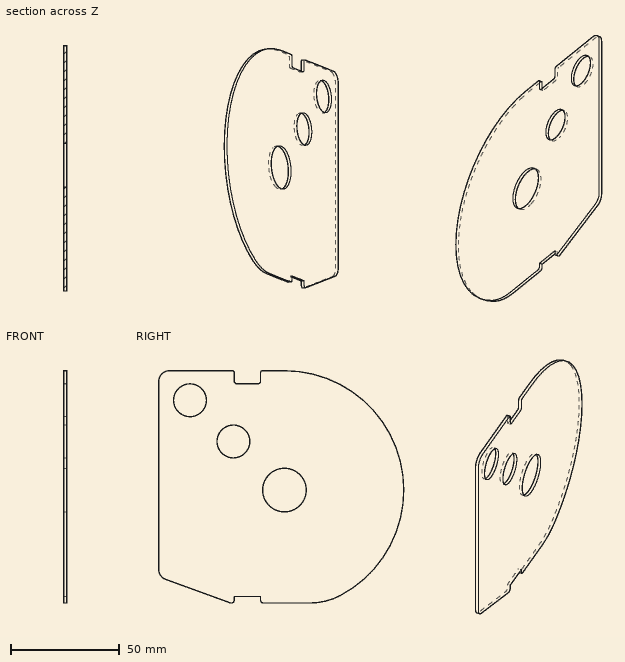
import cadquery as cq
import math

thickness = 1.5
disc_radius = 55.0
length = 113.0
height = 107.1
edge_y = disc_radius - length
bottom_z = disc_radius - height

plate_corner_radius = 5.0
blend_radius = 30.0
top_notch_radius = 1.0
bottom_notch_radius = 1.5

notch_near_y = -11.1
notch_width = 12.0
notch_far_y = notch_near_y - notch_width
top_notch_depth = 6.0
bottom_notch_depth = 3.0
top_notch_z = disc_radius - top_notch_depth
bottom_notch_z = bottom_z + bottom_notch_depth

slope_angle = math.radians(20)
tip_half_angle = (math.pi / 2 - slope_angle) / 2
tip_z = bottom_z + bottom_notch_radius * (1 - 1 / math.tan(tip_half_angle))
slope_end_z = tip_z + (notch_far_y - edge_y) * math.tan(slope_angle)

holes = [
    (0, 0, 20.0),
    (-23.5, 22.4, 15.0),
    (-43.5, 41.3, 15.0),
]

disc_end_y = math.sqrt(disc_radius**2 - bottom_z**2)


def make_plate():
    """Extrude the outline with sharp corners; the plate is centred on X = 0."""
    return (
        cq.Workplane("YZ", origin=(-thickness / 2, 0, 0))
        .moveTo(0, disc_radius)
        .lineTo(notch_near_y, disc_radius)
        .lineTo(notch_near_y, top_notch_z)
        .lineTo(notch_far_y, top_notch_z)
        .lineTo(notch_far_y, disc_radius)
        .lineTo(edge_y, disc_radius)
        .lineTo(edge_y, slope_end_z)
        .lineTo(notch_far_y, tip_z)
        .lineTo(notch_far_y, bottom_notch_z)
        .lineTo(notch_near_y, bottom_notch_z)
        .lineTo(notch_near_y, bottom_z)
        .lineTo(disc_end_y, bottom_z)
        .threePointArc((disc_radius, 0), (0, disc_radius))
        .close()
        .extrude(thickness)
    )


def round_corners(plate, corners, radius):
    """Round the through-thickness edges at the given (Y, Z) corners."""
    for y, z in corners:
        edge = plate.edges(cq.selectors.NearestToPointSelector((0, y, z)))
        plate = edge.fillet(radius)
    return plate


def cut_holes(plate):
    """Cut the round through holes."""
    for y, z, diameter in holes:
        cutter = (
            cq.Workplane("YZ", origin=(-thickness, 0, 0))
            .center(y, z)
            .circle(diameter / 2)
            .extrude(2 * thickness)
        )
        plate = plate.cut(cutter)
    return plate


plate_corners = [(edge_y, disc_radius), (edge_y, slope_end_z)]
top_notch_corners = [
    (y, z) for y in (notch_near_y, notch_far_y) for z in (disc_radius, top_notch_z)
]
bottom_notch_corners = [(notch_near_y, bottom_z), (notch_far_y, tip_z)]

result = make_plate()
result = round_corners(result, plate_corners, plate_corner_radius)
result = round_corners(result, [(disc_end_y, bottom_z)], blend_radius)
result = round_corners(result, top_notch_corners, top_notch_radius)
result = round_corners(result, bottom_notch_corners, bottom_notch_radius)
result = cut_holes(result)